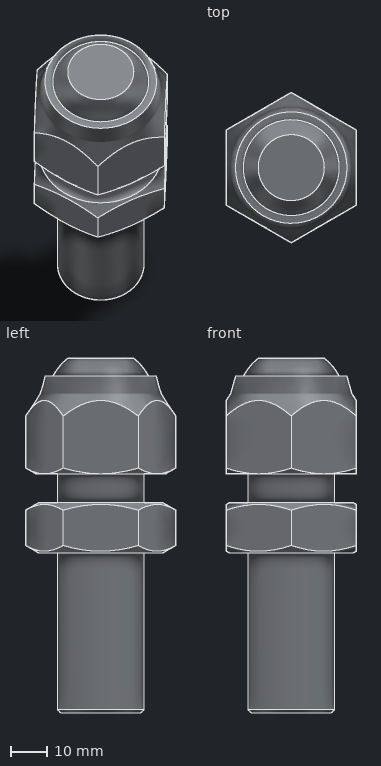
import cadquery as cq
import math

total_height = 98.0
across_flats = 36.0
across_corners = across_flats / math.cos(math.radians(30))
corner_radius = across_corners / 2

rod_diameter = 24.0
rod_tip_chamfer = 1.0

locknut_bottom = 44.2
locknut_height = 13.9
locknut_face_radius = 17.15

cap_bottom = 66.1
cap_face_radius = across_flats / 2
cap_shoulder_z = 82.0

dome_height = 4.9
collar_height = 4.9
collar_top_z = total_height - dome_height
collar_bottom_z = collar_top_z - collar_height
collar_bottom_radius = 16.8
collar_top_radius = 15.4
dome_base_radius = 13.2
dome_top_radius = 9.1

nut_chamfer_slope = math.tan(math.radians(30))


def hexagon(bottom, top):
    """Hexagonal prism with corners on the Y axis."""
    return (
        cq.Workplane("XY")
        .workplane(offset=bottom)
        .polygon(6, across_corners)
        .extrude(top - bottom)
        .rotate((0, 0, 0), (0, 0, 1), 30)
    )


def turned(profile):
    """Solid of revolution about Z from (radius, height) points."""
    return cq.Workplane("XZ").polyline(profile).close().revolve(360, (0, 0, 0), (0, 1, 0))


def make_rod():
    rod = cq.Workplane("XY").circle(rod_diameter / 2).extrude(cap_shoulder_z)
    return rod.faces("<Z").chamfer(rod_tip_chamfer)


def make_locknut():
    top = locknut_bottom + locknut_height
    chamfer_height = (corner_radius - locknut_face_radius) * nut_chamfer_slope
    envelope = turned([
        (0, locknut_bottom),
        (locknut_face_radius, locknut_bottom),
        (corner_radius, locknut_bottom + chamfer_height),
        (corner_radius, top - chamfer_height),
        (locknut_face_radius, top),
        (0, top),
    ])
    return hexagon(locknut_bottom, top).intersect(envelope)


def make_cap_nut():
    chamfer_height = (corner_radius - cap_face_radius) * nut_chamfer_slope
    envelope = turned([
        (0, cap_bottom),
        (cap_face_radius, cap_bottom),
        (corner_radius, cap_bottom + chamfer_height),
        (corner_radius, cap_shoulder_z),
        (collar_bottom_radius, collar_bottom_z),
        (0, collar_bottom_z),
    ])
    return hexagon(cap_bottom, collar_bottom_z).intersect(envelope)


def make_collar():
    return turned([
        (0, collar_bottom_z),
        (collar_bottom_radius, collar_bottom_z),
        (collar_top_radius, collar_top_z),
        (0, collar_top_z),
    ])


def make_dome():
    """Slice of a sphere centred on the axis, flat on top."""
    center_drop = (dome_base_radius**2 - dome_top_radius**2 - dome_height**2) / (2 * dome_height)
    sphere_radius = math.hypot(dome_base_radius, center_drop)
    middle_height = dome_height / 2
    middle_radius = math.sqrt(sphere_radius**2 - (center_drop + middle_height) ** 2)
    return (
        cq.Workplane("XZ")
        .moveTo(0, collar_top_z)
        .lineTo(dome_base_radius, collar_top_z)
        .threePointArc((middle_radius, collar_top_z + middle_height), (dome_top_radius, total_height))
        .lineTo(0, total_height)
        .close()
        .revolve(360, (0, 0, 0), (0, 1, 0))
    )


result = (
    make_rod()
    .union(make_locknut())
    .union(make_cap_nut())
    .union(make_collar())
    .union(make_dome())
)